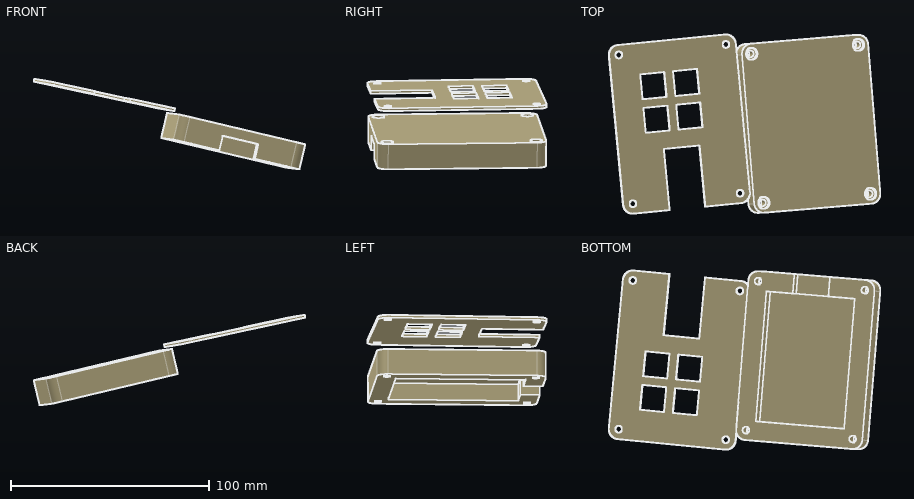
import cadquery as cq

WIDTH = 65.6
DEPTH = 85.5
SCREW_INSET = 5.0
CORNER_RADIUS = SCREW_INSET
SCREW_HOLE_DIAMETER = 3.4

OPENING_WIDTH = 18.5

PLATE_THICKNESS = 1.5
SLOT_LENGTH = 31.0
KEY_SIZE = 12.5
KEY_PITCH = 17.0
KEYS_PER_SIDE = 2
KEYS_CENTRE = (-3.0, 12.0)

HOUSING_HEIGHT = 13.0
WALL = 9.9
CAVITY_DEPTH = 8.5
NOTCH_HEIGHT = 7.5
COUNTERBORE_DIAMETER = 6.0
COUNTERBORE_DEPTH = 3.0

PLATE_CENTRE = (-32.6, 0.0, 14.9)
PLATE_TURNS = (0.9, 12.1, 5.6)
HOUSING_CENTRE = (33.7, 0.1, -2.7)
HOUSING_TURNS = (0.6, 13.3, 4.8)


def rounded_block(height):
    """Block with rounded corners whose top face is centred on the origin."""
    block = cq.Workplane("XY").rect(WIDTH, DEPTH).extrude(-height)
    return block.edges("|Z").fillet(CORNER_RADIUS)


def at_screws(workplane):
    """Put the four screw centres on a workplane."""
    return workplane.rect(WIDTH - 2 * SCREW_INSET, DEPTH - 2 * SCREW_INSET, forConstruction=True).vertices()


def front_opening(length, bottom, height):
    """Cutter that runs inwards from the front side and rises from the given bottom level."""
    return (
        cq.Workplane("XY", origin=(0, (length - DEPTH) / 2, bottom))
        .rect(OPENING_WIDTH, length)
        .extrude(height)
    )


def place(body, turns, centre):
    """Turn a body about X, then Y, then Z, and move its top face centre into place."""
    origin = (0, 0, 0)
    for axis, angle in zip(((1, 0, 0), (0, 1, 0), (0, 0, 1)), turns):
        body = body.rotate(origin, axis, angle)
    return body.translate(centre)


def make_plate():
    """Thin cover plate with key windows, a slot from the front side and screw holes."""
    plate = rounded_block(PLATE_THICKNESS)
    plate = plate.cut(front_opening(SLOT_LENGTH, -PLATE_THICKNESS, PLATE_THICKNESS))
    windows = (
        cq.Workplane("XY", origin=(*KEYS_CENTRE, 0))
        .rarray(KEY_PITCH, KEY_PITCH, KEYS_PER_SIDE, KEYS_PER_SIDE)
        .rect(KEY_SIZE, KEY_SIZE)
        .extrude(-PLATE_THICKNESS)
    )
    screw_holes = at_screws(cq.Workplane("XY")).circle(SCREW_HOLE_DIAMETER / 2).extrude(-PLATE_THICKNESS)
    return plate.cut(windows).cut(screw_holes)


def make_housing():
    """Housing with a cavity below, a notch in its front wall and counterbored screw holes."""
    housing = rounded_block(HOUSING_HEIGHT)
    cavity = (
        cq.Workplane("XY", origin=(0, 0, -HOUSING_HEIGHT))
        .rect(WIDTH - 2 * WALL, DEPTH - 2 * WALL)
        .extrude(CAVITY_DEPTH)
    )
    notch = front_opening(WALL, -HOUSING_HEIGHT, NOTCH_HEIGHT)
    screw_holes = at_screws(cq.Workplane("XY")).circle(SCREW_HOLE_DIAMETER / 2).extrude(-HOUSING_HEIGHT)
    counterbores = at_screws(cq.Workplane("XY")).circle(COUNTERBORE_DIAMETER / 2).extrude(-COUNTERBORE_DEPTH)
    return housing.cut(cavity).cut(notch).cut(screw_holes).cut(counterbores)


plate = place(make_plate(), PLATE_TURNS, PLATE_CENTRE)
housing = place(make_housing(), HOUSING_TURNS, HOUSING_CENTRE)

result = cq.Compound.makeCompound([plate.val(), housing.val()])